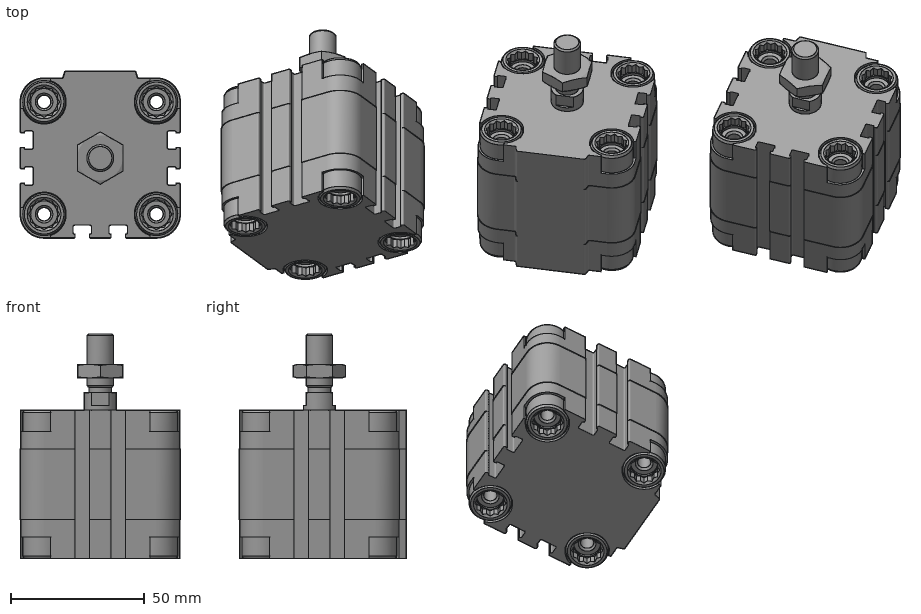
import cadquery as cq
import math

TOTAL_HEIGHT = 84.0

BARREL_HALF_WIDTH = 30.0
CAP_STEP = 0.21
HOUSING_HEIGHT = 55.5
CAP_HEIGHT = 14.5
BOLT_OFFSET = 21.0

PAD_FACE_Y = 32.5
PAD_TOP_HALF_WIDTH = 13.3
PAD_BASE_HALF_WIDTH = 14.0
PAD_ROOT_Y = 25.2
PAD_TOP_RADIUS = 0.6
PAD_BASE_RADIUS = 0.5
EDGE_MARGIN = 0.1

SLOT_OFFSET = 6.7
SLOT_FLOOR = 25.1
SLOT_WIDTH = 6.8
SLOT_MOUTH_WIDTH = 5.4
SLOT_LIP_PLANE = 28.4
SLOT_RADIUS = 0.5
SLOT_OVERCUT = 0.8

RECESS_DEPTH = 8.0
RECESS_DIAMETER = 16.55
RECESS_CORNER_REACH = 2.4
HEAD_DIAMETER = 16.0
HEAD_CHAMFER_WIDTH = 0.6
HEAD_CHAMFER_HEIGHT = 1.0

SOCKET_ACROSS_FLATS = 10.0
SOCKET_MOUTH_DIAMETER = 12.6
SOCKET_MOUTH_DEPTH = 1.0
SOCKET_DEPTH = 4.0
SOCKET_WELL_DEPTH = 5.0
BORE_DIAMETER = 4.95
BORE_MOUTH_DIAMETER = 6.55

SHAFT_DIAMETER = 12.0
SHAFT_TOP = 62.0
SHAFT_FLATS_BOTTOM = 57.3
SHAFT_ACROSS_FLATS = 10.0
NECK_DIAMETER = 8.6
NECK_TOP = 63.9
THREAD_DIAMETER = 10.0
THREAD_BOTTOM = 64.8
THREAD_TIP_CHAMFER = 0.7

NUT_BOTTOM = 67.5
NUT_THICKNESS = 5.0
NUT_ACROSS_FLATS = 17.0
NUT_FACE_DIAMETER = 16.9
NUT_CORNER_DROP = 0.4


def hexagon_diameter(across_flats):
    """Diameter of the circle through the corners of a hexagon."""
    return across_flats * 2 / math.sqrt(3)


def pad(side_inset):
    """Full-height pad on the +Y side, with its flanks moved in by side_inset."""
    top_x = PAD_TOP_HALF_WIDTH - side_inset
    base_x = PAD_BASE_HALF_WIDTH - side_inset
    slope = (base_x - top_x) / (PAD_FACE_Y - BARREL_HALF_WIDTH)
    root_x = base_x + slope * (BARREL_HALF_WIDTH - PAD_ROOT_Y)
    corners = [(-root_x, PAD_ROOT_Y), (root_x, PAD_ROOT_Y), (top_x, PAD_FACE_Y), (-top_x, PAD_FACE_Y)]
    return cq.Workplane("XY").polyline(corners).close().extrude(HOUSING_HEIGHT)


def slot_cutter(half_width):
    """One T-slot on the -Y side, with its mouth edges rounded at the face half_width from the axis."""
    cavity = (
        cq.Workplane("XY")
        .center(0, -(SLOT_FLOOR + SLOT_LIP_PLANE) / 2)
        .rect(SLOT_WIDTH, SLOT_LIP_PLANE - SLOT_FLOOR)
        .extrude(HOUSING_HEIGHT)
        .edges("|Z")
        .fillet(SLOT_RADIUS)
    )
    throat = SLOT_MOUTH_WIDTH / 2
    flare = throat + SLOT_RADIUS
    rounding_start = -half_width + SLOT_RADIUS
    mouth = (
        cq.Workplane("XY")
        .moveTo(throat, -SLOT_FLOOR)
        .lineTo(throat, rounding_start)
        .radiusArc((flare, -half_width), -SLOT_RADIUS)
        .lineTo(flare, -half_width - SLOT_OVERCUT)
        .lineTo(-flare, -half_width - SLOT_OVERCUT)
        .lineTo(-flare, -half_width)
        .radiusArc((-throat, rounding_start), -SLOT_RADIUS)
        .lineTo(-throat, -SLOT_FLOOR)
        .close()
        .extrude(HOUSING_HEIGHT)
    )
    return cavity.union(mouth)


def round_pad_edges(block, edge_y, radius):
    """Round the upright edges of the pad that lie at the given Y."""
    reach = PAD_BASE_HALF_WIDTH + EDGE_MARGIN
    near_edges = cq.selectors.BoxSelector(
        (-reach, edge_y - EDGE_MARGIN, 0),
        (reach, edge_y + EDGE_MARGIN, HOUSING_HEIGHT),
    )
    return block.edges("|Z").edges(near_edges).fillet(radius)


def section(half_width, bottom, height):
    """A stretch of the housing: rounded square with the pad and the T-slots."""
    block = (
        cq.Workplane("XY")
        .rect(2 * half_width, 2 * half_width)
        .extrude(HOUSING_HEIGHT)
        .edges("|Z")
        .fillet(half_width - BOLT_OFFSET)
        .union(pad(BARREL_HALF_WIDTH - half_width))
    )
    block = round_pad_edges(block, PAD_FACE_Y, PAD_TOP_RADIUS)
    block = round_pad_edges(block, half_width, PAD_BASE_RADIUS)
    for offset in (-SLOT_OFFSET, SLOT_OFFSET):
        slot = slot_cutter(half_width).translate((offset, 0, 0))
        for side_angle in (-90, 0, 90):
            block = block.cut(slot.rotate((0, 0, 0), (0, 0, 1), side_angle))
    layer = (
        cq.Workplane("XY")
        .workplane(offset=bottom)
        .rect(2 * PAD_FACE_Y, 2 * PAD_FACE_Y)
        .extrude(height)
    )
    return block.intersect(layer)


def corner_recess():
    """Recess of the +X +Y corner at the top end, open to the outside of the corner."""
    floor = HOUSING_HEIGHT - RECESS_DEPTH
    start = BOLT_OFFSET - RECESS_CORNER_REACH
    size = BARREL_HALF_WIDTH - start
    plane = cq.Workplane("XY").workplane(offset=floor)
    round_part = plane.center(BOLT_OFFSET, BOLT_OFFSET).circle(RECESS_DIAMETER / 2).extrude(RECESS_DEPTH)
    corner_part = plane.center(start, start).rect(size, size, centered=False).extrude(RECESS_DEPTH)
    return round_part.union(corner_part)


def bolt_head():
    """Solid bolt head of the +X +Y corner at the top end."""
    radius = HEAD_DIAMETER / 2
    face_radius = radius - HEAD_CHAMFER_WIDTH
    floor = HOUSING_HEIGHT - RECESS_DEPTH
    profile = [
        (0, floor),
        (radius, floor),
        (radius, HOUSING_HEIGHT - HEAD_CHAMFER_HEIGHT),
        (face_radius, HOUSING_HEIGHT),
        (0, HOUSING_HEIGHT),
    ]
    head = cq.Workplane("XZ").polyline(profile).close().revolve(360, (0, 0), (0, 1))
    return head.translate((BOLT_OFFSET, BOLT_OFFSET, 0))


def bolt_socket():
    """Twelve-point socket, well and bore countersink of the +X +Y corner at the top end."""
    flat_radius = SOCKET_ACROSS_FLATS / 2
    bore_mouth = BORE_MOUTH_DIAMETER / 2
    bore = BORE_DIAMETER / 2
    well_floor = HOUSING_HEIGHT - SOCKET_WELL_DEPTH
    profile = [
        (0, HOUSING_HEIGHT),
        (SOCKET_MOUTH_DIAMETER / 2, HOUSING_HEIGHT),
        (flat_radius, HOUSING_HEIGHT - SOCKET_MOUTH_DEPTH),
        (flat_radius, well_floor),
        (bore_mouth, well_floor),
        (bore, well_floor - (bore_mouth - bore)),
        (0, well_floor - (bore_mouth - bore)),
    ]
    cutter = cq.Workplane("XZ").polyline(profile).close().revolve(360, (0, 0), (0, 1))
    hexagon = (
        cq.Workplane("XY")
        .workplane(offset=HOUSING_HEIGHT - SOCKET_DEPTH)
        .polygon(6, hexagon_diameter(SOCKET_ACROSS_FLATS))
        .extrude(SOCKET_DEPTH)
    )
    for angle in (0, 90):
        cutter = cutter.union(hexagon.rotate((0, 0, 0), (0, 0, 1), angle))
    return cutter.translate((BOLT_OFFSET, BOLT_OFFSET, 0))


def at_every_corner(tool):
    """Copies of a +X +Y tool at the four corners."""
    return [tool.rotate((0, 0, 0), (0, 0, 1), angle) for angle in (0, 90, 180, 270)]


def top_cap():
    """Top stretch of the housing with its four recessed bolt heads."""
    cap = section(BARREL_HALF_WIDTH - CAP_STEP, HOUSING_HEIGHT - CAP_HEIGHT, CAP_HEIGHT)
    bolt = bolt_head().cut(bolt_socket())
    for recess in at_every_corner(corner_recess()):
        cap = cap.cut(recess)
    for head in at_every_corner(bolt):
        cap = cap.union(head)
    return cap


def build_housing():
    """One solid: barrel, two mirrored caps and the bores along the bolt axes."""
    barrel = section(BARREL_HALF_WIDTH, CAP_HEIGHT, HOUSING_HEIGHT - 2 * CAP_HEIGHT)
    cap = top_cap()
    opposite_cap = cap.mirror("XY", (0, 0, HOUSING_HEIGHT / 2))
    bores = (
        cq.Workplane("XY")
        .rect(2 * BOLT_OFFSET, 2 * BOLT_OFFSET, forConstruction=True)
        .vertices()
        .circle(BORE_DIAMETER / 2)
        .extrude(HOUSING_HEIGHT)
    )
    return barrel.union(cap).union(opposite_cap).clean().cut(bores)


def build_rod():
    """Rod standing on the housing: shaft with two wrench flats, undercut neck and thread."""
    shaft = SHAFT_DIAMETER / 2
    neck = NECK_DIAMETER / 2
    thread = THREAD_DIAMETER / 2
    profile = [
        (0, HOUSING_HEIGHT),
        (shaft, HOUSING_HEIGHT),
        (shaft, SHAFT_TOP),
        (neck, SHAFT_TOP),
        (neck, NECK_TOP),
        (thread, THREAD_BOTTOM),
        (thread, TOTAL_HEIGHT - THREAD_TIP_CHAMFER),
        (thread - THREAD_TIP_CHAMFER, TOTAL_HEIGHT),
        (0, TOTAL_HEIGHT),
    ]
    rod = cq.Workplane("XZ").polyline(profile).close().revolve(360, (0, 0), (0, 1))
    flat_depth = (SHAFT_DIAMETER - SHAFT_ACROSS_FLATS) / 2
    flat_centre = (SHAFT_ACROSS_FLATS + flat_depth) / 2
    flats = (
        cq.Workplane("XY")
        .workplane(offset=SHAFT_FLATS_BOTTOM)
        .pushPoints([(0, -flat_centre), (0, flat_centre)])
        .rect(SHAFT_DIAMETER, flat_depth)
        .extrude(SHAFT_TOP - SHAFT_FLATS_BOTTOM)
    )
    return rod.cut(flats)


def build_nut():
    """Hexagon nut with corners on the Y axis, chamfered on both faces."""
    corner = hexagon_diameter(NUT_ACROSS_FLATS) / 2
    face = NUT_FACE_DIAMETER / 2
    top = NUT_BOTTOM + NUT_THICKNESS
    hexagon = (
        cq.Workplane("XY")
        .workplane(offset=NUT_BOTTOM)
        .polygon(6, 2 * corner)
        .extrude(NUT_THICKNESS)
        .rotate((0, 0, 0), (0, 0, 1), 90)
    )
    turned_profile = [
        (THREAD_DIAMETER / 2, NUT_BOTTOM),
        (face, NUT_BOTTOM),
        (corner, NUT_BOTTOM + NUT_CORNER_DROP),
        (corner, top - NUT_CORNER_DROP),
        (face, top),
        (THREAD_DIAMETER / 2, top),
    ]
    turned = cq.Workplane("XZ").polyline(turned_profile).close().revolve(360, (0, 0), (0, 1))
    return hexagon.intersect(turned)


housing = build_housing()
rod = build_rod()
nut = build_nut()

result = cq.Compound.makeCompound([housing.val(), rod.val(), nut.val()])